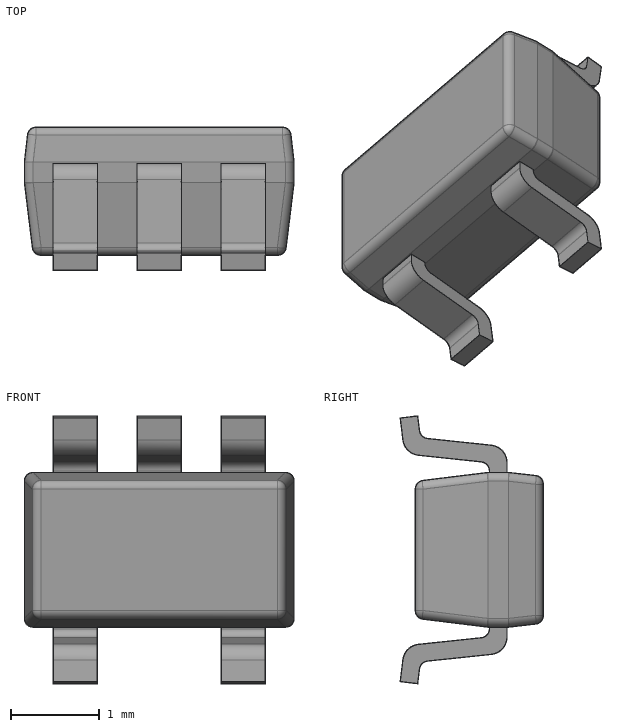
import cadquery as cq
import math

BODY_LENGTH = 3.05
BODY_HEIGHT = 1.75
BELT_DEPTH = 0.23
FRONT_DEPTH = 0.825
BACK_DEPTH = 0.395
FRONT_DRAFT_ANGLE = 7.0
BACK_DRAFT_ANGLE = 6.5
EDGE_RADIUS = 0.1

LEAD_WIDTH = 0.5
LEAD_THICKNESS = 0.2
LEAD_PITCH = 0.95
LEAD_EMBED = 0.183
SHANK_ANGLE = 6.0
FOOT_ANGLE = 7.0
BEND_INNER_RADIUS = 0.1
BEND_OUTER_RADIUS = 0.2
FOOT_OVERHANG = 0.17
LEAD_SPAN = 3.03
SHANK_HEIGHT = 1.075

FRONT_FACE_Y = -BELT_DEPTH / 2 - FRONT_DEPTH
FOOT_FACE_Y = FRONT_FACE_Y - FOOT_OVERHANG
TOP_LEAD_POSITIONS = (-LEAD_PITCH, 0, LEAD_PITCH)
BOTTOM_LEAD_POSITIONS = (-LEAD_PITCH, LEAD_PITCH)


def make_body():
    """Belt plus two drafted blocks, rounded everywhere except along the belt lines."""
    belt_front = cq.Workplane("XZ", origin=(0, -BELT_DEPTH / 2, 0))
    belt_back = cq.Workplane("XZ", origin=(0, BELT_DEPTH / 2, 0))
    belt = belt_back.rect(BODY_LENGTH, BODY_HEIGHT).extrude(BELT_DEPTH)
    front = belt_front.rect(BODY_LENGTH, BODY_HEIGHT).extrude(FRONT_DEPTH, taper=FRONT_DRAFT_ANGLE)
    back = belt_back.rect(BODY_LENGTH, BODY_HEIGHT).extrude(-BACK_DEPTH, taper=BACK_DRAFT_ANGLE)
    body = belt.union(front).union(back)
    corner_edges = body.edges("not(#Y)")
    end_edges = body.faces("<Y or >Y").edges()
    return body.newObject(corner_edges.vals() + end_edges.vals()).fillet(EDGE_RADIUS)


def lead_side_corners(side):
    """Corners (y, z) of one side of the strip, leg first; side +1 is the back and top, -1 the other."""
    half = LEAD_THICKNESS / 2
    shank = math.radians(SHANK_ANGLE)
    foot = math.radians(FOOT_ANGLE)

    foot_end_y = FOOT_FACE_Y + half * (1 + side) * math.cos(foot)
    foot_end_z = LEAD_SPAN / 2 - half * (1 - side) * math.sin(foot)

    leg_y = side * half
    shank_z = SHANK_HEIGHT + side * half / math.cos(shank)
    leg_corner_z = shank_z - leg_y * math.tan(shank)

    slope = math.tan(shank) * math.tan(foot)
    foot_corner_y = (foot_end_y + (foot_end_z - shank_z) * math.tan(foot)) / (1 - slope)
    foot_corner_z = shank_z - foot_corner_y * math.tan(shank)
    leg_start_z = BODY_HEIGHT / 2 - LEAD_EMBED
    return [
        (leg_y, leg_start_z),
        (leg_y, leg_corner_z),
        (foot_corner_y, foot_corner_z),
        (foot_end_y, foot_end_z),
    ]


def round_bend(lead, corner, radius):
    """Round the X-parallel lead edge that passes through a (y, z) corner."""
    return lead.edges("|X").edges(cq.selectors.NearestToPointSelector((0, *corner))).fillet(radius)


def make_top_lead():
    """Upper lead centered on X = 0."""
    upper = lead_side_corners(1)
    lower = lead_side_corners(-1)
    lead = (
        cq.Workplane("YZ")
        .polyline(upper + lower[::-1])
        .close()
        .extrude(LEAD_WIDTH / 2, both=True)
    )
    lead = round_bend(lead, upper[1], BEND_OUTER_RADIUS)
    lead = round_bend(lead, lower[1], BEND_INNER_RADIUS)
    lead = round_bend(lead, upper[2], BEND_INNER_RADIUS)
    return round_bend(lead, lower[2], BEND_OUTER_RADIUS)


top_lead = make_top_lead()
bottom_lead = top_lead.mirror("XY")

result = make_body()
for x in TOP_LEAD_POSITIONS:
    result = result.union(top_lead.translate((x, 0, 0)))
for x in BOTTOM_LEAD_POSITIONS:
    result = result.union(bottom_lead.translate((x, 0, 0)))